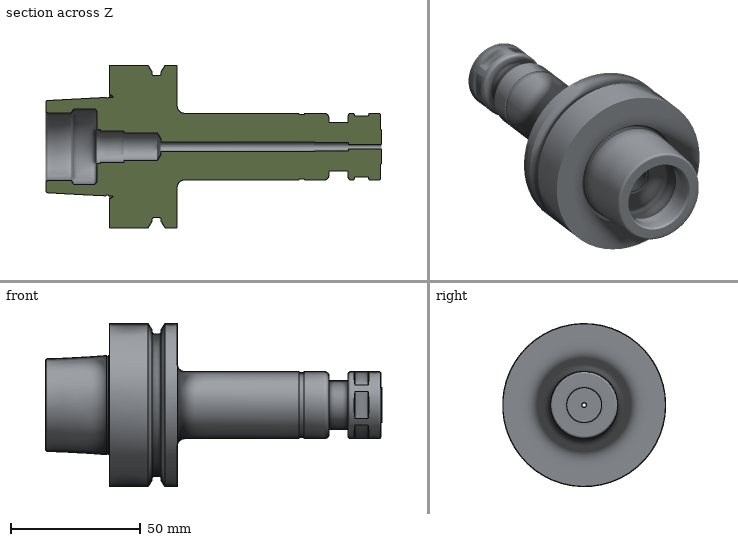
import cadquery as cq
import math


taper_radius = 18.0
taper_base_radius = 19.1
taper_end_round = 0.9
taper_end = 22.8
land_end = 23.5
relief_end = 24.3
relief_depth = 0.3

flange_start = 24.7
flange_end = 51.0
flange_radius = 63.0 / 2
recess_radius = 20.2
recess_floor_radius = 19.4
recess_depth = 1.3

groove_center = 42.9
groove_top_width = 6.5
groove_slot_width = 3.4
groove_slot_radius = 29.0
groove_floor_radius = 27.5
groove_round = 0.6

body_radius = 26.0 / 2
body_end = 109.6
body_base_round = 2.7
body_end_round = 2.0
band_start = 98.0
band_end = 100.0
band_radius = 12.6
neck_radius = 19.0 / 2

nut_start = 116.9
nut_end = 129.6
nut_radius = 26.0 / 2
nut_back_round = 1.2
nut_front_round = 0.9
flat_count = 6
flat_start = 119.6
flat_end = 124.7
flat_apothem = 11.9
flat_end_slope = 0.4
collet_radius = 13.5 / 2
total_length = 130.0

bore_mouth_radius = 13.5
bore_radius = 26.0 / 2
bore_mouth_depth = 0.9
clamp_edge = 10.0
chamber_radius = 14.5
chamber_flank_angle = 60.0
chamber_floor = 19.8
chamber_floor_round = 1.3
seat_radius = 13.0 / 2
seat_depth = 1.3
thread_radius = 12.0 / 2
thread_depth = 9.1
core_radius = 10.5 / 2
core_depth = 13.0
cone_end_radius = 6.0 / 2
drill_point_angle = 118.0
channel_radius = 3.5 / 2
channel_end = 104.0
throat_radius = 3.0 / 2
throat_end = 117.0
outlet_radius = 1.7 / 2


def revolve_about_x(profile):
    """Turn a closed profile drawn as (axial, radial) points about the X axis."""
    return profile.close().revolve(360, (0, 0, 0), (1, 0, 0))


def round_arc(profile, center, radius, start_deg, end_deg):
    """Append a circular arc to the profile, which must already be at its start angle."""
    def point(degrees):
        angle = math.radians(degrees)
        return (center[0] + radius * math.cos(angle), center[1] + radius * math.sin(angle))

    return profile.threePointArc(point((start_deg + end_deg) / 2), point(end_deg))


def make_taper_and_flange():
    relief_radius = taper_base_radius - relief_depth
    recess_floor = flange_start + recess_depth
    profile = cq.Workplane("XY").lineTo(0, taper_radius - taper_end_round)
    profile = round_arc(
        profile, (taper_end_round, taper_radius - taper_end_round), taper_end_round, 180, 90
    )
    profile = (
        profile.lineTo(taper_end, taper_base_radius)
        .lineTo(land_end, taper_base_radius)
        .lineTo(land_end, relief_radius)
        .lineTo(relief_end, relief_radius)
        .lineTo(relief_end, taper_base_radius)
        .lineTo(recess_floor, taper_base_radius)
        .lineTo(recess_floor, recess_floor_radius)
        .lineTo(flange_start, recess_radius)
        .lineTo(flange_start, flange_radius)
        .lineTo(flange_end, flange_radius)
        .lineTo(flange_end, 0)
    )
    return revolve_about_x(profile)


def make_gripper_groove():
    half_top = groove_top_width / 2
    half_slot = groove_slot_width / 2
    half_floor = half_slot - groove_round
    round_height = groove_floor_radius + groove_round
    profile = (
        cq.Workplane("XY")
        .moveTo(groove_center - half_top, flange_radius)
        .lineTo(groove_center - half_slot, groove_slot_radius)
        .lineTo(groove_center - half_slot, round_height)
    )
    profile = round_arc(profile, (groove_center - half_floor, round_height), groove_round, 180, 270)
    profile = profile.lineTo(groove_center + half_floor, groove_floor_radius)
    profile = round_arc(profile, (groove_center + half_floor, round_height), groove_round, 270, 360)
    profile = (
        profile.lineTo(groove_center + half_slot, groove_slot_radius)
        .lineTo(groove_center + half_top, flange_radius)
    )
    return revolve_about_x(profile)


def make_chuck_body():
    base_radius = body_radius + body_base_round
    base_round_end = flange_end + body_base_round
    profile = cq.Workplane("XY").moveTo(flange_end, 0).lineTo(flange_end, base_radius)
    profile = round_arc(profile, (base_round_end, base_radius), body_base_round, 180, 270)
    profile = (
        profile.lineTo(band_start, body_radius)
        .lineTo(band_start, band_radius)
        .lineTo(band_end, band_radius)
        .lineTo(band_end, body_radius)
        .lineTo(body_end - body_end_round, body_radius)
    )
    profile = round_arc(
        profile,
        (body_end - body_end_round, body_radius - body_end_round),
        body_end_round, 90, 0,
    )
    profile = (
        profile.lineTo(body_end, neck_radius)
        .lineTo(nut_start, neck_radius)
        .lineTo(nut_start, 0)
    )
    return revolve_about_x(profile)


def make_nut():
    blank = cq.Workplane("YZ", origin=(nut_start, 0, 0)).circle(nut_radius)
    nut = blank.extrude(nut_end - nut_start)
    nut = nut.faces("<X").edges().fillet(nut_back_round)
    nut = nut.faces(">X").edges().fillet(nut_front_round)
    for index in range(flat_count):
        nut = nut.cut(make_flat_cutter(index * 360 / flat_count))
    collet = cq.Workplane("YZ", origin=(nut_end, 0, 0)).circle(collet_radius)
    return nut.union(collet.extrude(total_length - nut_end))


def make_flat_cutter(angle):
    """Wedge-ended block that mills one wrench flat, turned from the -Y side about X."""
    corners = [
        (flat_start, -flat_apothem),
        (flat_start - flat_end_slope, -nut_radius),
        (flat_end + flat_end_slope, -nut_radius),
        (flat_end, -flat_apothem),
    ]
    cutter = cq.Workplane("XY").polyline(corners).close().extrude(nut_radius, both=True)
    return cutter.rotate((0, 0, 0), (1, 0, 0), angle)


def make_clamping_bore():
    flank_rise = chamber_radius - bore_radius
    flank_end = clamp_edge + flank_rise / math.tan(math.radians(chamber_flank_angle))
    corner = (chamber_floor - chamber_floor_round, chamber_radius - chamber_floor_round)
    profile = (
        cq.Workplane("XY")
        .lineTo(0, bore_mouth_radius)
        .lineTo(bore_mouth_depth, bore_radius)
        .lineTo(clamp_edge, bore_radius)
        .lineTo(flank_end, chamber_radius)
        .lineTo(corner[0], chamber_radius)
    )
    profile = round_arc(profile, corner, chamber_floor_round, 90, 0)
    return revolve_about_x(profile.lineTo(chamber_floor, 0))


def make_coolant_passage():
    seat_end = chamber_floor + seat_depth
    thread_end = seat_end + thread_depth
    core_end = thread_end + core_depth
    cone_length = (core_radius - cone_end_radius) / math.tan(math.radians(drill_point_angle / 2))
    cone_end = core_end + cone_length
    profile = (
        cq.Workplane("XY")
        .moveTo(chamber_floor, 0)
        .lineTo(chamber_floor, seat_radius)
        .lineTo(seat_end, seat_radius)
        .lineTo(seat_end, thread_radius)
        .lineTo(thread_end, thread_radius)
        .lineTo(thread_end, core_radius)
        .lineTo(core_end, core_radius)
        .lineTo(cone_end, cone_end_radius)
        .lineTo(cone_end, channel_radius)
        .lineTo(channel_end, channel_radius)
        .lineTo(channel_end, throat_radius)
        .lineTo(throat_end, throat_radius)
        .lineTo(throat_end, outlet_radius)
        .lineTo(total_length, outlet_radius)
        .lineTo(total_length, 0)
    )
    return revolve_about_x(profile)


result = (
    make_taper_and_flange()
    .cut(make_gripper_groove())
    .union(make_chuck_body())
    .union(make_nut())
    .cut(make_clamping_bore())
    .cut(make_coolant_passage())
)